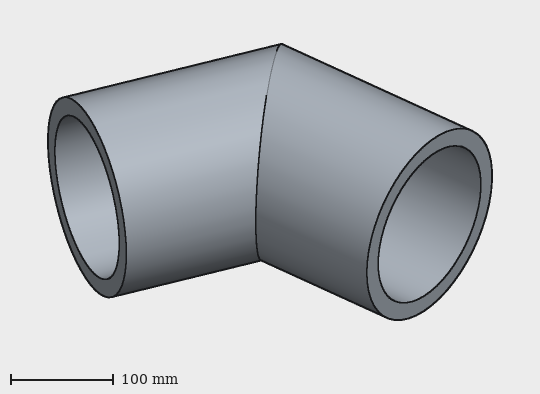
import cadquery as cq
import math

overall_length = 377.5
outer_diameter = 200.0
inner_diameter = 164.0
bend_angle = math.radians(60)

outer_radius = outer_diameter / 2
inner_radius = inner_diameter / 2

end_face_reach = outer_radius * math.sin(bend_angle)
leg_length = (overall_length - end_face_reach) / (1 + math.cos(bend_angle))

mitre_angle = bend_angle / 2
joint = (0, leg_length, 0)
mitre_normal = (math.sin(mitre_angle), math.cos(mitre_angle), 0)


def mitred_inlet_leg():
    """Tube along +Y from the XZ plane, cut off by the mitre plane."""
    half_width = outer_diameter
    mitre_rise = half_width * math.tan(mitre_angle)
    tube = (
        cq.Workplane("XZ")
        .circle(outer_radius)
        .circle(inner_radius)
        .extrude(-(leg_length + mitre_rise))
    )
    kept_region = (
        cq.Workplane("XY")
        .polyline([
            (-half_width, 0),
            (half_width, 0),
            (half_width, leg_length - mitre_rise),
            (-half_width, leg_length + mitre_rise),
        ])
        .close()
        .extrude(outer_diameter, both=True)
    )
    return tube.intersect(kept_region)


inlet_leg = mitred_inlet_leg()
outlet_leg = inlet_leg.mirror(mitre_normal, joint)
result = inlet_leg.union(outlet_leg)